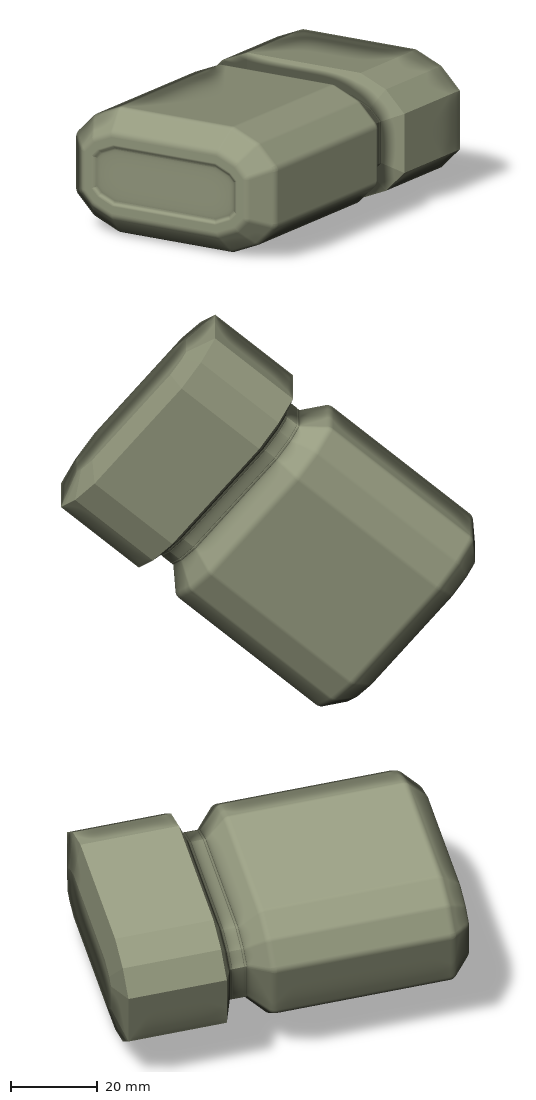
import cadquery as cq
import math


width = 55.0
thickness = 30.0
corner_chamfer = 7.95
easing_bevel = 4.05
bevel_angle = math.pi / 8

total_length = 84.5
bottle_length = 52.9
neck_length = 4.1
band_length = 0.6
collar_length = neck_length - 2 * band_length
cap_start = bottle_length + neck_length

neck_inset = 5.0
bottle_fillet = 2.0

recess_inset = 7.9
recess_depth = 0.55
recess_slope_width = 0.8
recess_fillet = 0.72

ring_fillet = 0.2

cap_chamfer_length = 2.0
cap_top_inset = 8.0

match_tolerance = 0.001


def section(y, inset):
    """Closed wire of the cross-section at y, with every side moved inwards by inset."""
    half_width = width / 2 - inset
    half_thickness = thickness / 2 - inset
    chamfer = corner_chamfer - inset * (2 - math.sqrt(2))
    bevel = easing_bevel - inset * (math.tan(bevel_angle) - math.tan(bevel_angle / 2))
    bevel_leg = bevel * math.sqrt(0.5)
    quadrant = [
        (half_width, half_thickness - chamfer),
        (half_width - chamfer + bevel_leg, half_thickness - bevel_leg),
        (half_width - chamfer - bevel, half_thickness),
    ]
    right_half = [(x, -z) for x, z in reversed(quadrant)] + quadrant
    left_half = [(-x, -z) for x, z in right_half]
    points = [cq.Vector(x, y, z) for x, z in right_half + left_half]
    return cq.Wire.makePolygon(points, close=True)


def stack(*levels):
    """Flat-sided solid running through the sections at the given (y, inset) levels."""
    wires = [section(y, inset) for y, inset in levels]
    return cq.Workplane(cq.Solid.makeLoft(wires, ruled=True))


def make_bottle():
    """Bottle rounded on every edge except those around the face under the neck."""
    body = stack(
        (0, neck_inset),
        (neck_inset, 0),
        (bottle_length - neck_inset, 0),
        (bottle_length, neck_inset),
    )
    neck_edges = body.faces(">Y").edges().vals()
    rounded_edges = [e for e in body.edges().vals() if not any(e.isSame(n) for n in neck_edges)]
    body = body.newObject(rounded_edges).fillet(bottle_fillet)
    return cut_recess(body)


def cut_recess(body):
    """Sink a recess with sloping walls into the base, rounded at its mouth and floor."""
    recess = stack((0, recess_inset), (recess_depth, recess_inset + recess_slope_width))
    rim_centers = [e.Center() for e in recess.faces("<Y or >Y").edges().vals()]

    def on_rim(edge):
        return any((edge.Center() - center).Length < match_tolerance for center in rim_centers)

    body = body.cut(recess)
    rim_edges = [e for e in body.edges().vals() if on_rim(e)]
    return body.newObject(rim_edges).fillet(recess_fillet)


def make_ring(start, length):
    """Solid slice of the neck with both rims rounded."""
    ring = stack((start, neck_inset), (start + length, neck_inset))
    return ring.faces("<Y or >Y").edges().fillet(ring_fillet)


def make_cap():
    """Cap that flares out from the neck and has a shallow, wide chamfer at its top."""
    return stack(
        (cap_start, neck_inset),
        (cap_start + cap_chamfer_length, 0),
        (total_length - cap_chamfer_length, 0),
        (total_length, cap_top_inset),
    )


bottle = make_bottle()
bands = [make_ring(start, band_length) for start in (bottle_length, cap_start - band_length)]
collar = make_ring(bottle_length + band_length, collar_length)
cap = make_cap()

result = cq.Compound.makeCompound([
    bottle.val(),
    *[band.val() for band in bands],
    collar.val(),
    cap.val(),
])